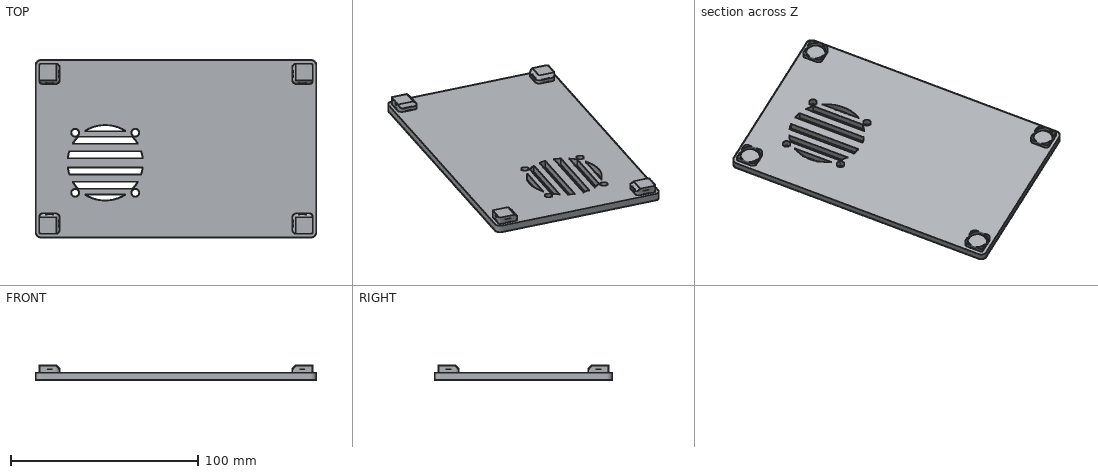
import cadquery as cq

PLATE_LENGTH = 150.0
PLATE_WIDTH = 95.0
TOTAL_HEIGHT = 8.0
PLATE_THICKNESS = TOTAL_HEIGHT / 2
PLATE_CORNER_RADIUS = 3.0

FOOT_HEIGHT = TOTAL_HEIGHT - PLATE_THICKNESS
FOOT_SIDE = 11.0
FOOT_OUTER_RADIUS = 1.0
FOOT_INSET = PLATE_CORNER_RADIUS - FOOT_OUTER_RADIUS
FOOT_INNER_RADIUS = 2.4
FOOT_SIDE_RADIUS = 1.8
FOOT_CHAMFER = 2.0
POCKET_DIAMETER = 10.2
POCKET_DEPTH = FOOT_HEIGHT / 2

FAN_X = -37.8
FAN_Y = -7.5
FAN_OPENING_DIAMETER = 40.2
FAN_SCREW_SPACING = 32.1
FAN_SCREW_DIAMETER = 4.0
CENTRE_BAR_WIDTH = 5.1
MIDDLE_BAR_WIDTH = 4.0
OUTER_BAR_WIDTH = 3.2
SLOT_WIDTH = 3.6
MIDDLE_BAR_OFFSET = CENTRE_BAR_WIDTH / 2 + SLOT_WIDTH + MIDDLE_BAR_WIDTH / 2
OUTER_BAR_OFFSET = MIDDLE_BAR_OFFSET + MIDDLE_BAR_WIDTH / 2 + SLOT_WIDTH + OUTER_BAR_WIDTH / 2


def make_grille_cutter():
    """Round fan opening, with the bars that stay in the plate taken out of it."""
    cutter = cq.Workplane("XY").circle(FAN_OPENING_DIAMETER / 2).extrude(PLATE_THICKNESS)
    bars = [
        (0.0, CENTRE_BAR_WIDTH),
        (MIDDLE_BAR_OFFSET, MIDDLE_BAR_WIDTH),
        (-MIDDLE_BAR_OFFSET, MIDDLE_BAR_WIDTH),
        (OUTER_BAR_OFFSET, OUTER_BAR_WIDTH),
        (-OUTER_BAR_OFFSET, OUTER_BAR_WIDTH),
    ]
    for offset, width in bars:
        bar = (
            cq.Workplane("XY")
            .center(0, offset)
            .rect(FAN_OPENING_DIAMETER, width)
            .extrude(PLATE_THICKNESS)
        )
        cutter = cutter.cut(bar)
    return cutter.translate((FAN_X, FAN_Y, 0))


def make_fan_screw_holes():
    """Four through holes on a square around the fan opening."""
    return (
        cq.Workplane("XY")
        .center(FAN_X, FAN_Y)
        .rect(FAN_SCREW_SPACING, FAN_SCREW_SPACING, forConstruction=True)
        .vertices()
        .circle(FAN_SCREW_DIAMETER / 2)
        .extrude(PLATE_THICKNESS)
    )


def make_plate():
    """Flat plate with rounded corners and the fan grille."""
    blank = (
        cq.Workplane("XY")
        .rect(PLATE_LENGTH, PLATE_WIDTH)
        .extrude(PLATE_THICKNESS)
        .edges("|Z")
        .fillet(PLATE_CORNER_RADIUS)
    )
    return blank.cut(make_grille_cutter()).cut(make_fan_screw_holes())


def make_foot():
    """Foot for the +X +Y corner: its -X and -Y sides face the middle of the plate."""
    block = cq.Workplane("XY").rect(FOOT_SIDE, FOOT_SIDE).extrude(FOOT_HEIGHT)

    block = block.edges("|Z and <X and <Y").fillet(FOOT_INNER_RADIUS)
    block = block.faces(">Z").edges("<X").chamfer(FOOT_CHAMFER)

    block = block.edges("|Z and <X and >Y").fillet(FOOT_INNER_RADIUS)
    block = block.edges("|Z and >X and <Y").fillet(FOOT_SIDE_RADIUS)
    block = block.edges("|Z and >X and >Y").fillet(FOOT_OUTER_RADIUS)

    pocket = cq.Workplane("XY").circle(POCKET_DIAMETER / 2).extrude(POCKET_DEPTH)
    return block.cut(pocket)


def make_feet():
    """One mirrored copy of the foot for each corner, standing on the plate."""
    centre_x = PLATE_LENGTH / 2 - FOOT_INSET - FOOT_SIDE / 2
    centre_y = PLATE_WIDTH / 2 - FOOT_INSET - FOOT_SIDE / 2
    corner_foot = make_foot().translate((centre_x, centre_y, PLATE_THICKNESS))
    feet = []
    for mirror_x in (False, True):
        for mirror_y in (False, True):
            foot = corner_foot
            if mirror_x:
                foot = foot.mirror("YZ")
            if mirror_y:
                foot = foot.mirror("XZ")
            feet.append(foot)
    return feet


plate = make_plate()
feet = make_feet()
result = cq.Compound.makeCompound([plate.val(), *[foot.val() for foot in feet]])